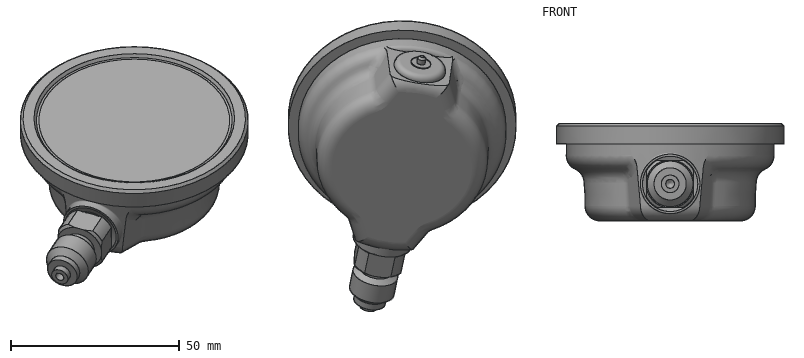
import cadquery as cq
import math

total_height = 29.0

bezel_radius = 33.9
bezel_height = 6.1
bezel_edge_chamfer = 0.8
opening_radius = 29.8
window_ledge_radius = 29.1
window_ledge_depth = 0.9
bezel_bottom = total_height - bezel_height

window_radius = 28.4
window_top = total_height - window_ledge_depth

drum_radius = 30.9
base_radius = 25.7
shoulder_top = 19.5
shoulder_round = 4.5
base_round = 4.5
base_draft = 0.45

lug_half_width = 10.4
lug_reach = 35.3
lug_flare = 0.48
lug_draft = 3.9
lug_blend = 3.6
mount_y = 29.3
ledge_bottom = 17.7
ledge_round = 1.5

connector_z = 11.0
boss_radius = 8.9
boss_end = 33.0
boss_root_round = 0.4
mouth_radius = 8.2
mouth_floor_radius = 6.3
mouth_depth = 0.6
socket_floor = 28.0

shank_radius = 5.9
collar_radius = 6.3
nut_start = 33.7
nut_end = 41.4
nut_width = 14.0
nut_corner_radius = 8.05
nut_chamfer = 0.6
nut_chamfer_radial = 0.9
neck_radius = 4.8
neck_end = 43.5
barrel_radius = 6.8
barrel_start = 44.7
barrel_end = 50.7
spigot_start = 52.5
spigot_end = 54.5
tip_radius = 2.6
tip_end = 56.5
bore_radius = 1.31
bore_depth = 4.5
drill_half_angle = 59.0

plug_z = 9.6
plug_radius = 7.8
plug_end = 31.1
plug_round = 1.7
plug_boss_radius = 3.0
plug_boss_height = 0.3
plug_pin_radius = 1.3
plug_pin_end = 33.5
plug_pin_chamfer = 0.6

edge_tolerance = 0.1
wall_edge_rise = 0.9


def revolve_z(outline):
    """Revolve an (r, z) outline around Z."""
    return outline.close().revolve(360, (0, 0, 0), (0, 1, 0))


def rod(radius, start, end, z, direction):
    """Cylinder along Y; direction is -1 toward -Y and +1 toward +Y."""
    plane = cq.Plane((0, direction * start, z), (1, 0, 0), (0, direction, 0))
    return cq.Workplane(plane).circle(radius).extrude(end - start)


def turned(*outline):
    """Turn an outline of (radius, distance toward -Y) points about the connector axis."""
    axis_plane = cq.Plane((0, 0, connector_z), (1, 0, 0), (0, 0, 1))
    points = [(radius, -distance) for radius, distance in outline]
    return cq.Workplane(axis_plane).polyline(points).close().revolve(360, (0, 0, 0), (0, 1, 0))


def make_bezel():
    return revolve_z(
        cq.Workplane("XZ")
        .moveTo(window_radius, bezel_bottom)
        .lineTo(bezel_radius, bezel_bottom)
        .lineTo(bezel_radius, total_height - bezel_edge_chamfer)
        .lineTo(bezel_radius - bezel_edge_chamfer, total_height)
        .lineTo(opening_radius, total_height)
        .lineTo(window_ledge_radius, window_top)
        .lineTo(window_radius, window_top)
    )


def make_window():
    return (
        cq.Workplane("XY").workplane(offset=bezel_bottom)
        .circle(window_radius).extrude(window_top - bezel_bottom)
    )


def make_drum():
    """Turned case body, with two equal tangent arcs forming the shoulder."""
    step = drum_radius - base_radius
    sweep = math.acos(1 - step / (2 * shoulder_round))
    drop = shoulder_round * math.sin(sweep)
    half = sweep / 2
    mid_in = shoulder_round * (1 - math.cos(half))
    mid_drop = shoulder_round * math.sin(half)
    shoulder_bottom = shoulder_top - 2 * drop
    return revolve_z(
        cq.Workplane("XZ")
        .moveTo(0, 0)
        .lineTo(base_radius - base_draft, 0)
        .lineTo(base_radius, shoulder_bottom)
        .threePointArc(
            (base_radius + mid_in, shoulder_bottom + mid_drop),
            (base_radius + step / 2, shoulder_top - drop),
        )
        .threePointArc((drum_radius - mid_in, shoulder_top - mid_drop), (drum_radius, shoulder_top))
        .lineTo(drum_radius, bezel_bottom)
        .lineTo(0, bezel_bottom)
    )


class LugBlendSelector(cq.Selector):
    """Edges where a lug wall runs into the base, shoulder or drum."""

    def filter(self, object_list):
        return [edge for edge in object_list if self.is_blend(edge)]

    def is_blend(self, edge):
        center = edge.Center()
        rises = edge.BoundingBox().zlen > wall_edge_rise
        on_wall = abs(center.x) > lug_half_width / 2 and abs(center.y) > drum_radius / 2
        inside_drum = math.hypot(center.x, center.y) < drum_radius + edge_tolerance
        return rises and on_wall and inside_drum


class BossRootSelector(cq.Selector):
    """Edges around the boss where it meets the lug."""

    def filter(self, object_list):
        return [edge for edge in object_list if self.is_root(edge)]

    def is_root(self, edge):
        points = edge.positions([0, 0.25, 0.5, 0.75, 1])
        on_boss = all(
            abs(math.hypot(p.x, p.z - connector_z) - boss_radius) < edge_tolerance for p in points
        )
        return on_boss and -boss_end + boss_root_round < edge.Center().y < 0


def make_lug_pair():
    """Two drafted wedges, opposite each other, that widen toward the gauge axis."""
    root_half_width = lug_half_width + lug_flare * mount_y
    tip_half_width = lug_half_width - lug_flare * (lug_reach - mount_y)
    lug = (
        cq.Workplane("XY").workplane(offset=bezel_bottom)
        .polyline([
            (-root_half_width, 0),
            (root_half_width, 0),
            (tip_half_width, lug_reach),
            (-tip_half_width, lug_reach),
        ])
        .close()
        .extrude(-bezel_bottom, taper=lug_draft)
    )
    return lug.union(lug.rotate((0, 0, 0), (0, 0, 1), 180))


def make_case():
    blended = make_drum().union(make_lug_pair()).edges(LugBlendSelector()).fillet(lug_blend)

    envelope = cq.Workplane("XY").circle(drum_radius).extrude(shoulder_top)
    ledge = (
        cq.Workplane("XY").workplane(offset=ledge_bottom)
        .circle(drum_radius).extrude(bezel_bottom - ledge_bottom)
        .faces("<Z").edges().fillet(ledge_round)
    )
    behind_mount = (
        cq.Workplane("XY")
        .box(2 * drum_radius, drum_radius, shoulder_top, centered=(True, False, False))
        .translate((0, mount_y, 0))
        .cut(ledge)
    )
    rim = (
        cq.Workplane("XY").workplane(offset=shoulder_top)
        .circle(drum_radius).extrude(bezel_bottom - shoulder_top)
    )
    body = blended.intersect(envelope).union(rim)
    body = body.faces("<Z").edges().fillet(base_round).cut(behind_mount)

    body = body.union(rod(boss_radius, socket_floor, boss_end, connector_z, -1))
    body = body.edges(BossRootSelector()).fillet(boss_root_round)
    socket = turned(
        (0, socket_floor),
        (shank_radius, socket_floor),
        (shank_radius, boss_end - mouth_depth),
        (mouth_floor_radius, boss_end - mouth_depth),
        (mouth_radius, boss_end),
        (0, boss_end),
    )
    return body.cut(socket)


def make_connector():
    """Turned connector with a nut: a round bar cut down to a square with rounded corners."""
    stem = turned(
        (0, socket_floor),
        (shank_radius, socket_floor),
        (shank_radius, boss_end),
        (collar_radius, nut_start),
        (neck_radius, nut_start),
        (neck_radius, neck_end),
        (barrel_radius, barrel_start),
        (barrel_radius, barrel_end),
        (neck_radius, spigot_start),
        (neck_radius, spigot_end),
        (tip_radius, spigot_end),
        (tip_radius, tip_end),
        (0, tip_end),
    )
    nut_bar = turned(
        (0, nut_start),
        (nut_corner_radius, nut_start),
        (nut_corner_radius, nut_end - nut_chamfer),
        (nut_corner_radius - nut_chamfer_radial, nut_end),
        (0, nut_end),
    )
    nut_square = cq.Workplane("XY").box(nut_width, 2 * nut_end, nut_width).translate((0, 0, connector_z))
    drill_point = bore_radius / math.tan(math.radians(drill_half_angle))
    bore = turned(
        (0, tip_end - bore_depth - drill_point),
        (bore_radius, tip_end - bore_depth),
        (bore_radius, tip_end),
        (0, tip_end),
    )
    return stem.union(nut_bar.intersect(nut_square)).cut(bore)


def make_plug():
    disc = rod(plug_radius, mount_y, plug_end, plug_z, 1).faces(">Y").edges().fillet(plug_round)
    boss = rod(plug_boss_radius, plug_end, plug_end + plug_boss_height, plug_z, 1)
    pin = rod(plug_pin_radius, plug_end, plug_pin_end, plug_z, 1).faces(">Y").chamfer(plug_pin_chamfer)
    return disc.union(boss).union(pin)


bezel = make_bezel()
window = make_window()
case = make_case()
connector = make_connector()
plug = make_plug()

result = cq.Compound.makeCompound([
    bezel.val(),
    window.val(),
    case.val(),
    connector.val(),
    plug.val(),
])